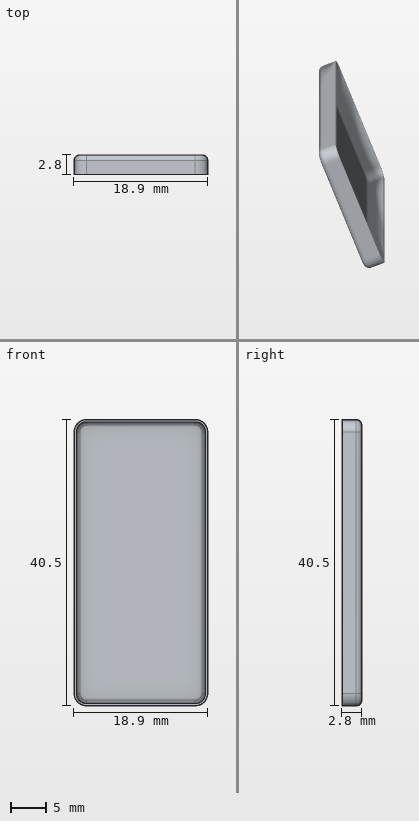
import cadquery as cq

width = 18.9
depth = 2.8
height = 40.5
corner_radius = 1.8
outer_edge_radius = 0.8
wall = 0.32
inner_edge_radius = outer_edge_radius - wall


def rounded_block(inset, block_depth, edge_radius):
    """Upright block from y = 0 to block_depth, rounded at its corners and around its +Y face."""
    block = cq.Workplane("XY").box(
        width - 2 * inset, block_depth, height - 2 * inset, centered=(True, False, True)
    )
    block = block.edges("|Y").fillet(corner_radius - inset)
    return block.faces(">Y").edges().fillet(edge_radius)


shell = rounded_block(0, depth, outer_edge_radius)
cavity = rounded_block(wall, depth - wall, inner_edge_radius)

result = shell.cut(cavity)